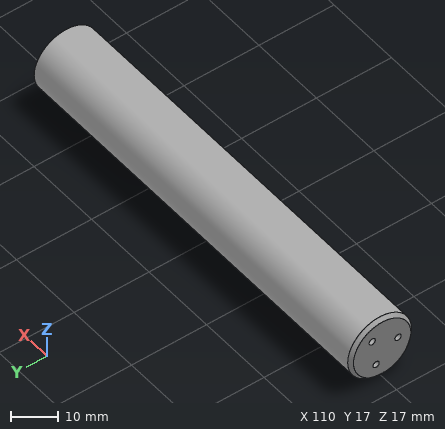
import cadquery as cq
import math

rod_length = 110.0
rod_diameter = 17.0
end_chamfer = 0.9

channel_count = 3
channel_diameter = 1.6
channel_circle_radius = 4.3
first_channel_angle = 172.0
helix_angle = 30.0

helix_pitch = math.pi * rod_diameter / math.tan(math.radians(helix_angle))
channel_twist = 360 * rod_length / helix_pitch


def make_rod():
    rod = cq.Workplane("YZ").circle(rod_diameter / 2).extrude(rod_length)
    return rod.faces("<X").chamfer(end_chamfer)


def make_channel(angle):
    """Right-handed twisted channel that opens at the given angle from +Y toward +Z."""
    center_y = channel_circle_radius * math.cos(math.radians(angle))
    center_z = channel_circle_radius * math.sin(math.radians(angle))
    opening = cq.Workplane("YZ").center(center_y, center_z).circle(channel_diameter / 2)
    return opening.center(-center_y, -center_z).twistExtrude(rod_length, channel_twist)


result = make_rod()
for index in range(channel_count):
    result = result.cut(make_channel(first_channel_angle + index * 360 / channel_count))